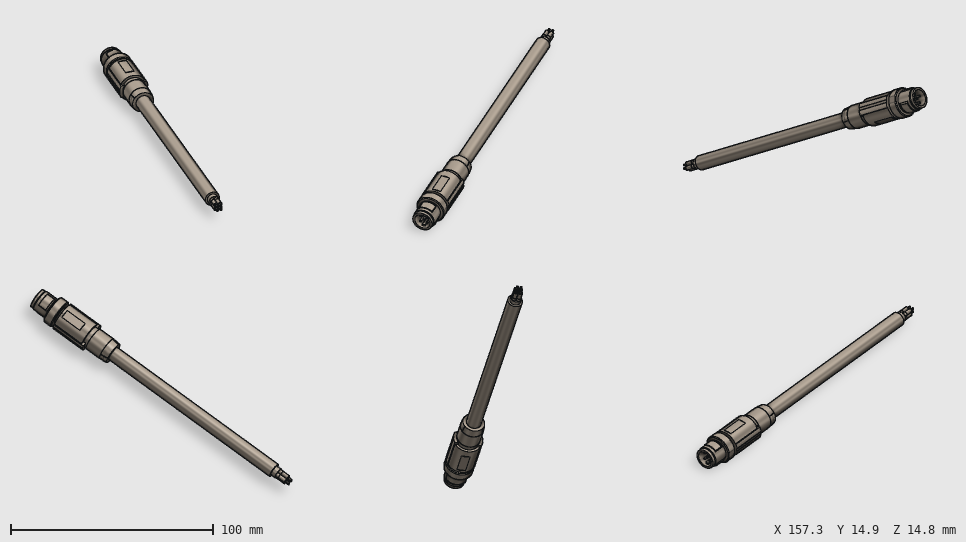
import cadquery as cq

NOSE_SHOULDER = 1.5
NOSE_SHOULDER_END = 2.0
COLLAR_START = 9.6
COLLAR_END = 14.5
GRIP_START = 15.7
GRIP_END = 32.5
GRIP_PAD_END = 34.0
TAIL_START = 34.9
NUT_START = 43.3
NUT_END = 47.3
CABLE_END = 147.2
SHEATH_END = 149.7
SLEEVE_END = 151.5
WIRE_END = 155.3
TOTAL_LENGTH = 157.3

NOSE_TIP_RADIUS = 5.2
NOSE_RADIUS = 5.5
COLLAR_RADIUS = 7.4
NECK_RADIUS = 4.7
GRIP_RADIUS = 7.0
GRIP_PAD_RADIUS = 7.47
GRIP_TAIL_RADIUS = 5.8
TAIL_RADIUS = 6.0
CABLE_RADIUS = 3.7
SHEATH_RADIUS = 2.7

BORE_RADIUS = 4.1
BORE_DEPTH = 7.9
PIN_RADIUS = 0.5
PIN_LENGTH = 6.1
PIN_OFFSET = 1.7
KEY_WIDTH = 1.5
KEY_HEIGHT = 1.0

LUG_RADIUS = 6.0
LUG_START = 3.8
LUG_END = 9.0
LUG_RAMP = 0.8
TOP_LUG_WIDTH = 7.2
BOTTOM_LUG_WIDTH = 10.0

COLLAR_CHAMFER = 0.5
COLLAR_FLAT_WIDTH = 3.3

GRIP_PAD_WIDTH = 6.5
GRIP_GROOVE_WIDTH = 1.4
GRIP_GROOVE_DEPTH = 0.24
LABEL_START = 17.1
LABEL_END = 28.3
LABEL_WIDTH = 4.4

NUT_PAD_WIDTH = 6.3
NUT_PAD_TAPER_START = 45.5
NUT_RADIUS = 5.8
NUT_PAD_END_RADIUS = 5.5
NUT_END_RADIUS = 5.3

WIRE_RADIUS = 1.02
SLEEVE_RADIUS = 1.07
WIRE_OFFSET = 1.1
CONDUCTOR_RADIUS = 0.5
CONDUCTOR_OFFSET = 1.0


def rod(start, end, radius, y=0.0, z=0.0):
    """Round rod along X between two stations."""
    plane = cq.Workplane("YZ", origin=(start, 0, 0))
    return plane.center(y, z).circle(radius).extrude(end - start)


def block(start, end, width, height, y=0.0, z=0.0):
    """Box between two X stations, width along Y and height along Z, centred on (y, z)."""
    plane = cq.Workplane("YZ", origin=(start, 0, 0))
    return plane.center(y, z).rect(width, height).extrude(end - start)


def cone(start, end, start_radius, end_radius):
    """Cone frustum about the X axis."""
    outline = [(start, 0), (start, start_radius), (end, end_radius), (end, 0)]
    return cq.Workplane("XY").polyline(outline).close().revolve(360, (0, 0), (1, 0))


def chord_distance(radius, chord_width):
    """Distance from the axis to a chord of the given width."""
    return (radius**2 - (chord_width / 2) ** 2) ** 0.5


def make_nose():
    nose = rod(0, NOSE_SHOULDER, NOSE_TIP_RADIUS)
    nose = nose.union(cone(NOSE_SHOULDER, NOSE_SHOULDER_END, NOSE_TIP_RADIUS, NOSE_RADIUS))
    nose = nose.union(rod(NOSE_SHOULDER_END, COLLAR_START, NOSE_RADIUS))

    ramp_start = LUG_END - LUG_RAMP
    ring = rod(LUG_START, ramp_start, LUG_RADIUS)
    ring = ring.union(cone(ramp_start, LUG_END, LUG_RADIUS, NOSE_RADIUS))
    for side, width in ((1, TOP_LUG_WIDTH), (-1, BOTTOM_LUG_WIDTH)):
        keep = block(LUG_START, LUG_END, width, LUG_RADIUS, z=side * LUG_RADIUS / 2)
        nose = nose.union(ring.intersect(keep))

    nose = nose.cut(rod(0, BORE_DEPTH, BORE_RADIUS))
    key = block(NOSE_SHOULDER, BORE_DEPTH, KEY_WIDTH, 2 * KEY_HEIGHT, z=-BORE_RADIUS)
    nose = nose.union(key.intersect(rod(0, BORE_DEPTH, NOSE_TIP_RADIUS)))

    pin_places = [(y, z) for y in (-PIN_OFFSET, PIN_OFFSET) for z in (-PIN_OFFSET, PIN_OFFSET)]
    for y, z in pin_places + [(0, 0)]:
        nose = nose.union(rod(BORE_DEPTH - PIN_LENGTH, BORE_DEPTH, PIN_RADIUS, y, z))
    return nose


def make_collar():
    collar = rod(COLLAR_START, COLLAR_END, COLLAR_RADIUS).edges().chamfer(COLLAR_CHAMFER)
    flat_distance = chord_distance(COLLAR_RADIUS, COLLAR_FLAT_WIDTH)
    limits = block(COLLAR_START, COLLAR_END, 2 * flat_distance, 2 * COLLAR_RADIUS)
    return collar.intersect(limits)


def make_grip():
    grip = rod(GRIP_START, GRIP_END, GRIP_RADIUS)
    label_distance = chord_distance(GRIP_RADIUS, LABEL_WIDTH)
    for side in (1, -1):
        label_z = side * (label_distance + GRIP_RADIUS / 2)
        grip = grip.cut(block(LABEL_START, LABEL_END, 2 * GRIP_RADIUS, GRIP_RADIUS, z=label_z))

    pads = rod(GRIP_START, GRIP_PAD_END, GRIP_PAD_RADIUS)
    pads = pads.intersect(block(GRIP_START, GRIP_PAD_END, 2 * GRIP_PAD_RADIUS, GRIP_PAD_WIDTH))
    for side in (1, -1):
        groove_y = side * GRIP_PAD_RADIUS
        groove = block(GRIP_START, GRIP_PAD_END, 2 * GRIP_GROOVE_DEPTH, GRIP_GROOVE_WIDTH, y=groove_y)
        pads = pads.cut(groove)
    return grip.union(pads).union(rod(GRIP_END, TAIL_START, GRIP_TAIL_RADIUS))


def make_nut():
    pads = rod(NUT_START, NUT_PAD_TAPER_START, NUT_RADIUS)
    pads = pads.union(cone(NUT_PAD_TAPER_START, NUT_END, NUT_RADIUS, NUT_PAD_END_RADIUS))
    pads = pads.intersect(block(NUT_START, NUT_END, 2 * NUT_RADIUS, NUT_PAD_WIDTH))
    return pads.union(cone(NUT_START, NUT_END, NUT_RADIUS, NUT_END_RADIUS))


def make_wires():
    """Four insulated wires in a square; each bare conductor sits slightly nearer the cable axis."""
    wires = cq.Workplane("YZ")
    for y_side in (-1, 1):
        for z_side in (-1, 1):
            wire_place = (y_side * WIRE_OFFSET, z_side * WIRE_OFFSET)
            conductor_place = (y_side * CONDUCTOR_OFFSET, z_side * CONDUCTOR_OFFSET)
            wires = wires.add(rod(SHEATH_END, SLEEVE_END, SLEEVE_RADIUS, *wire_place))
            wires = wires.add(rod(SLEEVE_END, WIRE_END, WIRE_RADIUS, *wire_place))
            wires = wires.add(rod(WIRE_END, TOTAL_LENGTH, CONDUCTOR_RADIUS, *conductor_place))
    return wires.combine()


result = (
    make_nose()
    .union(make_collar())
    .union(rod(COLLAR_END, GRIP_START, NECK_RADIUS))
    .union(make_grip())
    .union(rod(TAIL_START, NUT_START, TAIL_RADIUS))
    .union(make_nut())
    .union(rod(NUT_END, CABLE_END, CABLE_RADIUS))
    .union(rod(CABLE_END, SHEATH_END, SHEATH_RADIUS))
    .union(make_wires())
)